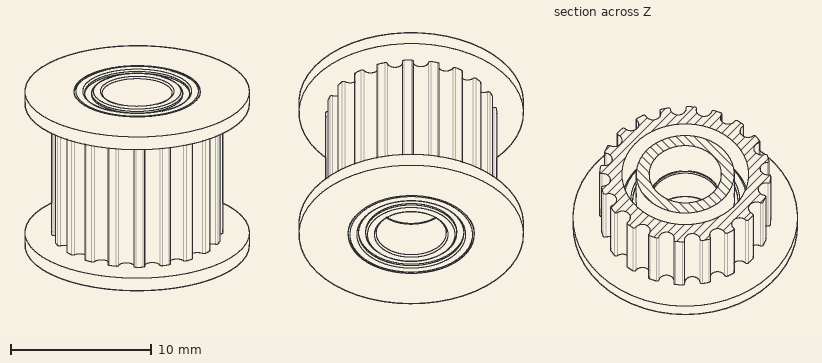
import cadquery as cq
import math

flange_diameter = 16.0
flange_thickness = 1.0
pulley_height = 12.0
tooth_count = 20
tip_radius = 6.1
groove_radius = 0.55
tip_round = 0.15

bearing_diameter = 9.0
bearing_bore = 5.0
bearing_width = 3.0
race_chamfer = 0.13
outer_race_inner_diameter = 7.5
inner_race_outer_diameter = 6.5
shield_recess = 0.25

spacer_diameter = 7.0
spacer_bore = 5.1
spacer_length = pulley_height - 2 * bearing_width


def polar(radius, angle):
    return (radius * math.cos(angle), radius * math.sin(angle))


def toothed_outline():
    """Closed outline of round-bottomed grooves separated by teeth with rounded tips."""
    pitch = 2 * math.pi / tooth_count

    round_center_radius = tip_radius - tip_round
    round_center_side = groove_radius + tip_round
    groove_center = math.sqrt(round_center_radius**2 - round_center_side**2)
    tip_half_angle = math.asin(round_center_side / round_center_radius)
    round_half_turn = (math.pi / 2 - tip_half_angle) / 2

    tip_edge = polar(tip_radius, tip_half_angle)
    groove_edge = (groove_center, groove_radius)
    groove_bottom_radius = groove_center - groove_radius
    round_middle = (
        groove_center + tip_round * math.sin(round_half_turn),
        round_center_side - tip_round * math.cos(round_half_turn),
    )

    def placed(point, angle, side):
        """The point turned about Z to a groove at this angle, mirrored across it when side is -1."""
        along, across = point
        across *= side
        return (
            along * math.cos(angle) - across * math.sin(angle),
            along * math.sin(angle) + across * math.cos(angle),
        )

    outline = cq.Workplane("XY", origin=(0, 0, -pulley_height / 2))
    outline = outline.moveTo(*placed(tip_edge, pitch / 2, -1))
    for index in range(tooth_count):
        angle = (index + 0.5) * pitch
        outline = outline.threePointArc(placed(round_middle, angle, -1), placed(groove_edge, angle, -1))
        outline = outline.threePointArc(polar(groove_bottom_radius, angle), placed(groove_edge, angle, 1))
        outline = outline.threePointArc(placed(round_middle, angle, 1), placed(tip_edge, angle, 1))
        outline = outline.threePointArc(
            polar(tip_radius, angle + pitch / 2), placed(tip_edge, angle + pitch, -1)
        )
    return outline.close()


def make_pulley():
    pulley_body = toothed_outline().extrude(pulley_height)
    for flange_bottom in (-pulley_height / 2, pulley_height / 2 - flange_thickness):
        flange = (
            cq.Workplane("XY", origin=(0, 0, flange_bottom))
            .circle(flange_diameter / 2)
            .extrude(flange_thickness)
        )
        pulley_body = pulley_body.union(flange)
    bore = (
        cq.Workplane("XY", origin=(0, 0, -pulley_height / 2))
        .circle(bearing_diameter / 2)
        .extrude(pulley_height)
    )
    return pulley_body.cut(bore)


def make_bearing(bottom):
    """Ring with a recess between its races at each end, and all race corners chamfered."""
    base = cq.Workplane("XY", origin=(0, 0, bottom))
    bearing = (
        base.circle(bearing_diameter / 2)
        .circle(bearing_bore / 2)
        .extrude(bearing_width)
    )
    for recess_bottom in (0, bearing_width - shield_recess):
        recess = (
            base.workplane(offset=recess_bottom)
            .circle(outer_race_inner_diameter / 2)
            .circle(inner_race_outer_diameter / 2)
            .extrude(shield_recess)
        )
        bearing = bearing.cut(recess)
    return bearing.faces("<Z or >Z").edges().chamfer(race_chamfer)


def make_spacer():
    return (
        cq.Workplane("XY", origin=(0, 0, -spacer_length / 2))
        .circle(spacer_diameter / 2)
        .circle(spacer_bore / 2)
        .extrude(spacer_length)
    )


pulley = make_pulley()
bearings = [make_bearing(bottom) for bottom in (-pulley_height / 2, spacer_length / 2)]
spacer = make_spacer()

result = cq.Compound.makeCompound(
    [pulley.val(), *[bearing.val() for bearing in bearings], spacer.val()]
)